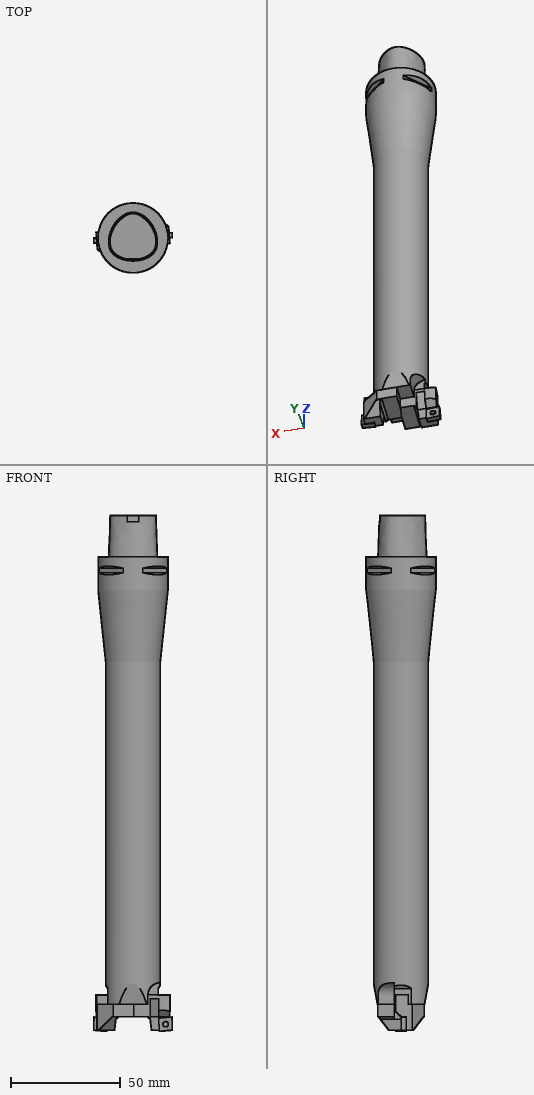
import cadquery as cq
import math


shank_height = 19.0
shank_base_radius = 11.15
shank_top_radius = 10.5
lobe_height = 0.6
shank_curve_points = 72
key_notch_width = 5.4
key_notch_height = 3.0
key_notch_floor = 9.4
flange_radius = 16.0
flange_height = 15.0
taper_end = -48.0
bar_radius = 12.5
bar_end = -204.1

groove_center = -6.15
groove_opening = 4.0
groove_floor_height = 2.0
groove_floor = 14.05

flat_start = -194.8
flat_end_distance = 10.8
slot_start = -195.4
slot_floor_start = -197.0
slot_floor = 11.5
slot_front = 3.1
slot_back = 4.7
pocket_inner = 6.8
pocket_arc_middle = (8.25, -196.2)
pocket_start = -194.4

lug_top = -199.8
plate_bottom = -209.9
head_bottom = -216.0
slide_back = 10.7
slide_front = slot_front
split_offset = 0.4
lug_outer = 16.9
lug_back = 3.2
lug_inner = pocket_inner
lug_chamfer_start = 14.4
lug_chamfer_front = 2.5
back_corner = (16.3, 5.2)
back_flat_end = 8.9
head_inner_top = 6.6
head_inner_bottom = 8.4
head_shoulder = -211.0
head_inner_shoulder = 7.8
head_back = 10.3
head_tip_back = 5.6
gullet_inner = 11.8
gullet_roof = -206.8
side_gullet_inner = 7.8
side_gullet_roof = -201.7

insert_tip_radius = 35.99 / 2
insert_edge = 6.1
insert_corner_angle = 84.0
insert_tilt = 5.0
insert_thickness = 2.4
insert_hole_diameter = 2.5
tool_bottom = shank_height - 235.56

slide_angles = (0, 180)
clearance = 1.0


def box(x_min, x_max, y_min, y_max, z_min, z_max):
    """Block between the given limits."""
    return cq.Workplane("XY").box(
        x_max - x_min, y_max - y_min, z_max - z_min, centered=False
    ).translate((x_min, y_min, z_min))


def turned(part, angle):
    """Copy of a part turned about the tool axis."""
    return part.rotate((0, 0, 0), (0, 0, 1), angle)


def lobed_section(mean_radius, z):
    """Closed three-lobed curve with one lobe toward +Y, described by its tangent lines."""

    def point(t):
        angle = 2 * math.pi * t
        phase = 3 * (angle - math.pi / 2)
        reach = mean_radius + lobe_height * math.cos(phase)
        slide_along = -3 * lobe_height * math.sin(phase)
        return (
            reach * math.cos(angle) - slide_along * math.sin(angle),
            reach * math.sin(angle) + slide_along * math.cos(angle),
            z,
        )

    return cq.Workplane("XY").parametricCurve(point, N=shank_curve_points).val()


def make_shank():
    base = lobed_section(shank_base_radius, 0)
    top = lobed_section(shank_top_radius, shank_height)
    shank = cq.Workplane(cq.Solid.makeLoft([base, top], True))
    notch = box(
        -key_notch_width / 2, key_notch_width / 2,
        -flange_radius, -key_notch_floor,
        shank_height - key_notch_height, shank_height + clearance,
    )
    return shank.cut(notch)


def gripper_groove():
    """Straight groove along Y with sloping sides, cut into the +X side of the flange."""
    slope = (groove_opening - groove_floor_height) / 2 / (flange_radius - groove_floor)
    outer = flange_radius + clearance
    outer_half = groove_opening / 2 + slope * clearance
    floor_half = groove_floor_height / 2
    return (
        cq.Workplane("XZ")
        .moveTo(groove_floor, groove_center - floor_half)
        .lineTo(outer, groove_center - outer_half)
        .lineTo(outer, groove_center + outer_half)
        .lineTo(groove_floor, groove_center + floor_half)
        .close()
        .extrude(flange_radius, both=True)
    )


def side_flat():
    """Wedge that leaves a slanted flat on the +Y side of the bar end."""
    return (
        cq.Workplane("YZ")
        .moveTo(bar_radius, flat_start)
        .lineTo(flat_end_distance, bar_end)
        .lineTo(flange_radius, bar_end)
        .lineTo(flange_radius, flat_start)
        .close()
        .extrude(bar_radius, both=True)
    )


def slide_slot():
    """Shallow slot in the +X side of the bar end that takes the lug of a slide."""
    return (
        cq.Workplane("XZ", origin=(0, slot_back, 0))
        .moveTo(slot_floor, bar_end)
        .lineTo(slot_floor, slot_floor_start)
        .lineTo(bar_radius, slot_start)
        .lineTo(flange_radius, slot_start)
        .lineTo(flange_radius, bar_end)
        .close()
        .extrude(slot_back + slot_front)
    )


def chip_pocket():
    """Arched pocket ahead of the +X cutting edge, open toward -Y."""
    return (
        cq.Workplane("XZ", origin=(0, -slot_front, 0))
        .moveTo(pocket_inner, bar_end)
        .lineTo(pocket_inner, lug_top)
        .threePointArc(pocket_arc_middle, (slot_floor, pocket_start))
        .lineTo(flange_radius, pocket_start)
        .lineTo(flange_radius, bar_end)
        .close()
        .extrude(bar_radius)
    )


def make_adapter():
    body = (
        cq.Workplane("XZ")
        .lineTo(flange_radius, 0)
        .lineTo(flange_radius, -flange_height)
        .lineTo(bar_radius, taper_end)
        .lineTo(bar_radius, bar_end)
        .lineTo(0, bar_end)
        .close()
        .revolve(360, (0, 0, 0), (0, 1, 0))
    )
    for quarter in range(4):
        body = body.cut(turned(gripper_groove(), 45 + 90 * quarter))
    for angle in slide_angles:
        for cutter in (side_flat(), slide_slot(), chip_pocket(), slide_lug()):
            body = body.cut(turned(cutter, angle))
    return body.union(make_shank())


def slide_outline(z_min, z_max):
    """Plan of the +X slide, from its cutting side (-Y) round the outside to its back (+Y)."""
    return (
        cq.Workplane("XY", origin=(0, 0, z_min))
        .moveTo(split_offset, -slide_front)
        .lineTo(lug_chamfer_start, -slide_front)
        .lineTo(lug_outer, -lug_chamfer_front)
        .lineTo(*back_corner)
        .lineTo(back_flat_end, slide_back)
        .lineTo(-split_offset, slide_back)
        .lineTo(-split_offset, slide_front)
        .close()
        .extrude(z_max - z_min)
    )


def slide_lug():
    """Upright lug that stands in the bar end, its front flush with the chip pocket floor."""
    limits = box(lug_inner, lug_outer, -slide_front, lug_back, bar_end, lug_top)
    return slide_outline(bar_end, lug_top).intersect(limits)


def head_envelope():
    """Side profile in YZ: straight plate sides and a head whose back slants toward the tip."""
    return (
        cq.Workplane("YZ")
        .moveTo(-slide_front, bar_end)
        .lineTo(-slide_front, head_bottom)
        .lineTo(head_tip_back, head_bottom)
        .lineTo(head_back, plate_bottom)
        .lineTo(slide_back, plate_bottom)
        .lineTo(slide_back, bar_end)
        .close()
        .extrude(insert_tip_radius, both=True)
    )


def space_between_heads():
    return (
        cq.Workplane("XZ")
        .moveTo(-split_offset, plate_bottom)
        .lineTo(head_inner_top, plate_bottom)
        .lineTo(head_inner_shoulder, head_shoulder)
        .lineTo(head_inner_bottom, head_bottom)
        .lineTo(-split_offset, head_bottom)
        .close()
        .extrude(flange_radius, both=True)
    )


def gullet(inner, outer, roof_front):
    """Space ahead of the rake face between two X limits, under a roof that slants down inward."""
    return (
        cq.Workplane("YZ", origin=(inner, 0, 0))
        .moveTo(0, head_bottom)
        .lineTo(0, plate_bottom)
        .lineTo(-slide_front, roof_front)
        .lineTo(-slide_front, head_bottom)
        .close()
        .extrude(outer - inner)
    )


def insert_plate():
    """Solid rhombic plate with its rake face at Y = 0 and its tip outward."""
    tilt = math.radians(insert_tilt)
    lean = math.radians(insert_tilt + insert_corner_angle)
    bottom_run = insert_edge * math.cos(tilt)
    side_run = insert_edge * math.cos(lean)
    side_rise = insert_edge * math.sin(lean)
    drop = insert_edge * math.sin(tilt)
    return (
        cq.Workplane("XZ", origin=(insert_tip_radius, 0, tool_bottom + drop))
        .lineTo(-bottom_run, -drop)
        .lineTo(-bottom_run - side_run, side_rise - drop)
        .lineTo(-side_run, side_rise)
        .close()
        .extrude(-insert_thickness)
    )


def make_insert():
    rake_face = insert_plate().faces("<Y").workplane(centerOption="CenterOfMass")
    return rake_face.hole(insert_hole_diameter)


def make_slide():
    return (
        slide_outline(head_bottom, bar_end)
        .intersect(head_envelope())
        .cut(space_between_heads())
        .union(slide_lug())
        .cut(gullet(gullet_inner, insert_tip_radius, gullet_roof))
        .cut(gullet(side_gullet_inner, gullet_inner, side_gullet_roof))
        .cut(insert_plate())
    )


adapter = make_adapter()
slides = [turned(make_slide(), angle) for angle in slide_angles]
inserts = [turned(make_insert(), angle) for angle in slide_angles]

result = cq.Compound.makeCompound([part.val() for part in [adapter, *slides, *inserts]])